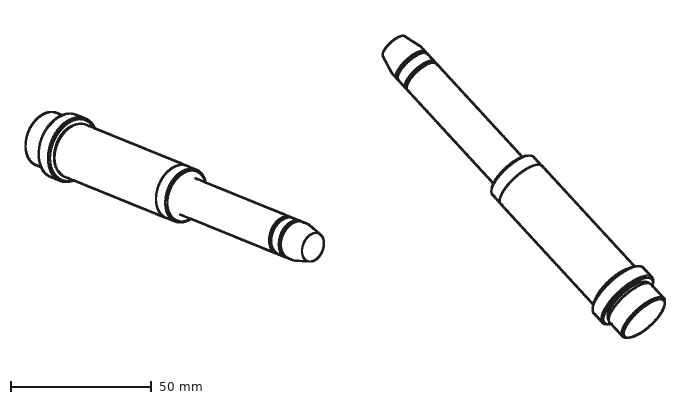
import cadquery as cq

length = 140.0
body_diameter = 20.0
lead_diameter = 19.9
collar_diameter = 24.0
pin_diameter = 14.0
tip_diameter = 10.6

collar_start = 9.0
collar_width = 6.0
lead_start = 68.7
body_end = 74.0
taper_start = 133.0
pin_groove_starts = (124.6, 129.6)

edge_chamfer = 0.5
root_fillet = 0.3
head_relief_width = 1.3
body_relief_width = 0.8
relief_depth = 0.4
pin_groove_width = 0.8
pin_groove_depth = 0.3

collar_end = collar_start + collar_width


def cylinder(start, end, diameter):
    """Solid cylinder along X."""
    return cq.Workplane("YZ", origin=(start, 0, 0)).circle(diameter / 2).extrude(end - start)


def relief(outer_edge, collar_face):
    """Ring that cuts a shallow cone, deepest where it meets the collar."""
    radius = body_diameter / 2
    return (
        cq.Workplane("XY")
        .moveTo(outer_edge, radius)
        .lineTo(collar_face, radius - relief_depth)
        .lineTo(collar_face, radius)
        .close()
        .revolve(360, (0, 0, 0), (1, 0, 0))
    )


def pin_groove(start):
    """Square-bottomed ring that cuts a groove around the pin."""
    end = start + pin_groove_width
    floor_diameter = pin_diameter - 2 * pin_groove_depth
    return cylinder(start, end, pin_diameter).cut(cylinder(start, end, floor_diameter))


head_and_body = cylinder(0, lead_start, body_diameter).faces("<X").chamfer(edge_chamfer)
lead = cylinder(lead_start, body_end, lead_diameter).faces(">X").chamfer(edge_chamfer)
head_and_body = head_and_body.union(lead)
head_and_body = head_and_body.cut(relief(collar_start - head_relief_width, collar_start))
head_and_body = head_and_body.cut(relief(collar_end + body_relief_width, collar_end))

collar = cylinder(collar_start, collar_end, collar_diameter).faces("<X or >X").chamfer(edge_chamfer)

pin_radius = pin_diameter / 2
pin = (
    cq.Workplane("XY")
    .moveTo(lead_start, 0)
    .lineTo(lead_start, pin_radius)
    .lineTo(body_end, pin_radius)
    .lineTo(body_end, pin_radius + root_fillet)
    .radiusArc((body_end + root_fillet, pin_radius), -root_fillet)
    .lineTo(taper_start, pin_radius)
    .lineTo(length, tip_diameter / 2)
    .lineTo(length, 0)
    .close()
    .revolve(360, (0, 0, 0), (1, 0, 0))
)
for groove_start in pin_groove_starts:
    pin = pin.cut(pin_groove(groove_start))

result = head_and_body.union(collar).union(pin)